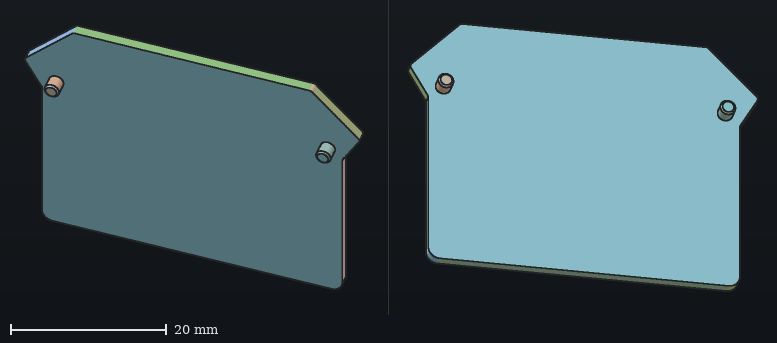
import cadquery as cq
import math

overall_width = 45.6
height = 34.3
thickness = 1.5
body_width = 40.9
shoulder_drop = 11.0
bevel_angle = 45.0
flare_angle = 60.0
upper_radius = 0.5
bottom_radius = 1.5

pin_diameter = 2.0
pin_length = 2.0
pin_chamfer = 0.25
pin_spacing = 37.0
pin_drop = 9.4

top_z = height / 2
bottom_z = -height / 2
body_x = body_width / 2
shoulder_z = top_z - shoulder_drop

bevel_normal = math.radians(90 - bevel_angle)
flare_normal = math.radians(90 - flare_angle)
half_turn = (bevel_normal + flare_normal) / 2
tip_direction = (bevel_normal - flare_normal) / 2
sharp_tip_reach = upper_radius / math.cos(half_turn) * math.cos(tip_direction)
tip_x = overall_width / 2 - upper_radius + sharp_tip_reach
tip_z = shoulder_z + (tip_x - body_x) * math.tan(math.radians(flare_angle))
top_corner_x = tip_x - (top_z - tip_z) / math.tan(math.radians(bevel_angle))


def make_plate():
    right_side = [
        (body_x, bottom_z),
        (body_x, shoulder_z),
        (tip_x, tip_z),
        (top_corner_x, top_z),
    ]
    left_side = [(-x, z) for x, z in reversed(right_side)]
    plate = cq.Workplane("XZ").polyline(right_side + left_side).close().extrude(-thickness)
    rounded_corners = [
        (body_x, bottom_z, bottom_radius),
        (tip_x, tip_z, upper_radius),
        (top_corner_x, top_z, upper_radius),
    ]
    for x, z, radius in rounded_corners:
        for side in (-1, 1):
            corner = cq.selectors.NearestToPointSelector((side * x, thickness / 2, z))
            plate = plate.edges("|Y").edges(corner).fillet(radius)
    return plate


def make_pins():
    pin_z = top_z - pin_drop
    return (
        cq.Workplane("XZ")
        .pushPoints([(-pin_spacing / 2, pin_z), (pin_spacing / 2, pin_z)])
        .circle(pin_diameter / 2)
        .extrude(pin_length)
        .faces("<Y")
        .chamfer(pin_chamfer)
    )


result = make_plate().union(make_pins())